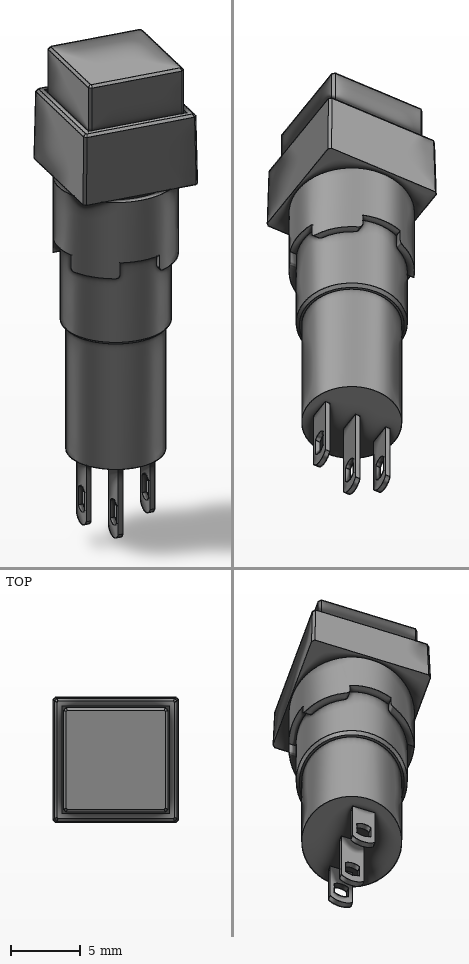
import cadquery as cq


TOTAL_HEIGHT = 38.0
CAP_EXPOSED = 3.5
BEZEL_TOP = TOTAL_HEIGHT - CAP_EXPOSED
BEZEL_HEIGHT = 5.5
BEZEL_BOTTOM = BEZEL_TOP - BEZEL_HEIGHT
NUT_GAP = 0.4
NUT_TOP = BEZEL_BOTTOM - NUT_GAP
NUT_HEIGHT = 6.05
NUT_BOTTOM = NUT_TOP - NUT_HEIGHT
BARREL_BOTTOM = 17.02
BASE_BOTTOM = 7.0

BEZEL_WIDTH = 9.0
BEZEL_DRAFT = 1.0
BEZEL_CHAMFER = 0.2
CAP_WIDTH = 7.5
CAP_CHAMFER = 0.2
CAP_CLEARANCE = 0.1
POCKET_DEPTH = 1.9

BARREL_DIAMETER = 7.98
BARREL_CHAMFER = 0.23
BASE_DIAMETER = 7.2

NUT_DIAMETER = BEZEL_WIDTH
NOTCH_COUNT = 4
NOTCH_WIDTH = 3.1
NOTCH_DEPTH = 1.25
NOTCH_ROUND = 0.3

TAB_WIDTH = 1.7
TAB_THICKNESS = 0.38
TAB_PITCH = 2.5
TAB_TIP_RISE = 0.55
CENTRE_TAB_TIP = 0.0
SIDE_TAB_TIP = 1.52
SLOT_WIDTH = 1.05
SLOT_LENGTH = 2.0
SLOT_END_RISE = 0.3
SLOT_ABOVE_TIP = 1.0


def make_cap():
    """Chamfered square button standing on the floor of the bezel pocket."""
    return (
        cq.Workplane("XY", origin=(0, 0, BEZEL_TOP - POCKET_DEPTH))
        .rect(CAP_WIDTH, CAP_WIDTH)
        .extrude(CAP_EXPOSED + POCKET_DEPTH)
        .edges("|Z")
        .chamfer(CAP_CHAMFER)
        .faces(">Z")
        .chamfer(CAP_CHAMFER)
    )


def make_bezel():
    """Drafted square head with chamfered corners and a pocket for the cap."""
    pocket_width = CAP_WIDTH + 2 * CAP_CLEARANCE
    return (
        cq.Workplane("XY", origin=(0, 0, BEZEL_BOTTOM))
        .rect(BEZEL_WIDTH, BEZEL_WIDTH)
        .extrude(BEZEL_HEIGHT, taper=BEZEL_DRAFT)
        .edges("not #Z")
        .chamfer(BEZEL_CHAMFER)
        .faces(">Z")
        .edges()
        .chamfer(BEZEL_CHAMFER)
        .faces(">Z")
        .workplane()
        .rect(pocket_width, pocket_width)
        .cutBlind(-POCKET_DEPTH)
    )


def make_barrel():
    """Stepped round body, chamfered where the barrel ends."""
    barrel = (
        cq.Workplane("XY", origin=(0, 0, BARREL_BOTTOM))
        .circle(BARREL_DIAMETER / 2)
        .extrude(BEZEL_BOTTOM - BARREL_BOTTOM)
        .faces("<Z")
        .chamfer(BARREL_CHAMFER)
    )
    base = (
        cq.Workplane("XY", origin=(0, 0, BASE_BOTTOM))
        .circle(BASE_DIAMETER / 2)
        .extrude(BARREL_BOTTOM - BASE_BOTTOM)
    )
    return barrel.union(base)


def make_tab(y, tip):
    """Flat tab centred on the given y, with an arched tip and an arch-ended slot."""
    half_width = TAB_WIDTH / 2
    half_slot = SLOT_WIDTH / 2
    slot_bottom = tip + SLOT_ABOVE_TIP
    slot_top = slot_bottom + SLOT_LENGTH
    blade = (
        cq.Workplane("XZ", origin=(0, y, 0))
        .moveTo(-half_width, BASE_BOTTOM)
        .lineTo(-half_width, tip + TAB_TIP_RISE)
        .threePointArc((0, tip), (half_width, tip + TAB_TIP_RISE))
        .lineTo(half_width, BASE_BOTTOM)
        .close()
        .extrude(TAB_THICKNESS / 2, both=True)
    )
    slot = (
        cq.Workplane("XZ", origin=(0, y, 0))
        .moveTo(-half_slot, slot_bottom + SLOT_END_RISE)
        .threePointArc((0, slot_bottom), (half_slot, slot_bottom + SLOT_END_RISE))
        .lineTo(half_slot, slot_top - SLOT_END_RISE)
        .threePointArc((0, slot_top), (-half_slot, slot_top - SLOT_END_RISE))
        .close()
        .extrude(TAB_THICKNESS, both=True)
    )
    return blade.cut(slot)


def make_housing():
    """Bezel, barrel and tabs as one solid."""
    housing = make_bezel().union(make_barrel())
    tabs = ((-TAB_PITCH, SIDE_TAB_TIP), (0, CENTRE_TAB_TIP), (TAB_PITCH, SIDE_TAB_TIP))
    for y, tip in tabs:
        housing = housing.union(make_tab(y, tip))
    return housing


def make_nut():
    """Ring around the barrel, with spanner notches across its lower rim."""
    nut = (
        cq.Workplane("XY", origin=(0, 0, NUT_BOTTOM))
        .circle(NUT_DIAMETER / 2)
        .circle(BARREL_DIAMETER / 2)
        .extrude(NUT_HEIGHT)
    )
    for i in range(NOTCH_COUNT):
        notch = (
            cq.Workplane("XY", origin=(0, 0, NUT_BOTTOM))
            .center(NUT_DIAMETER / 2, 0)
            .rect(NUT_DIAMETER, NOTCH_WIDTH)
            .extrude(NOTCH_DEPTH)
            .rotate((0, 0, 0), (0, 0, 1), i * 360 / NOTCH_COUNT)
        )
        nut = nut.cut(notch)
    return nut.faces("<Z").edges("%LINE").fillet(NOTCH_ROUND)


cap = make_cap()
housing = make_housing()
nut = make_nut()

result = cq.Compound.makeCompound([cap.val(), housing.val(), nut.val()])